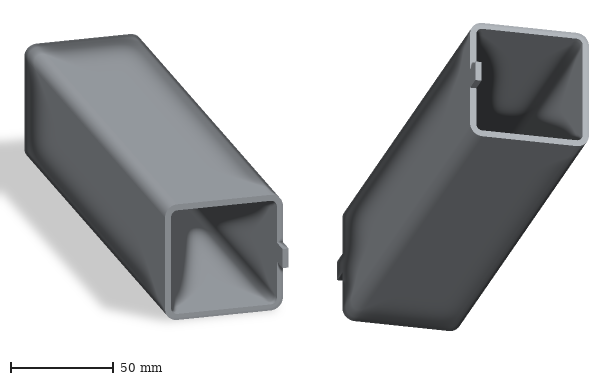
import cadquery as cq

overall_length = 260.0
tube_side = 60.0
wall = 3.0
outer_radius = 6.2
tab_length = 10.0
tab_height = 10.0

tube_length = overall_length - 2 * tab_length
inner_side = tube_side - 2 * wall
inner_radius = outer_radius - wall


def rounded_bar(side, radius):
    """Square bar along X, centred on the origin, with rounded long edges."""
    return cq.Workplane("XY").box(tube_length, side, side).edges("|X").fillet(radius)


tube = rounded_bar(tube_side, outer_radius).cut(rounded_bar(inner_side, inner_radius))

tab_strip = (
    cq.Workplane("XY")
    .box(overall_length, wall, tab_height)
    .translate((0, (tube_side - wall) / 2, 0))
)

result = tube.union(tab_strip)